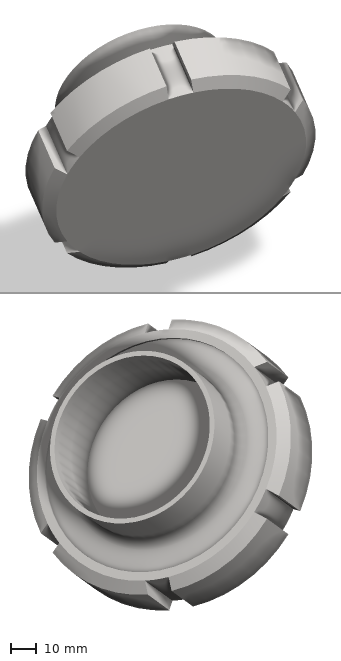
import cadquery as cq
import math

total_length = 47.5

nut_diameter = 111.6
nut_width = 25.1
nut_bore_diameter = 95.0
nut_bevel_length = 2.8
nut_bevel_height = 4.8
slot_count = 6
slot_width = 10.0

pipe_diameter = 70.0
pipe_bore_diameter = 66.0
pipe_bore_depth = 30.0
pipe_straight_length = 18.5
neck_radius = 3.9
flange_slope = 8.0

nut_radius = nut_diameter / 2
slot_floor_radius = nut_radius - nut_bevel_height
pipe_radius = pipe_diameter / 2
nut_start = total_length - nut_width

slope_angle = math.radians(flange_slope)
neck_end = pipe_straight_length + neck_radius * math.cos(slope_angle)
neck_end_radius = pipe_radius + neck_radius * (1 - math.sin(slope_angle))
flange_edge = neck_end + (nut_bore_diameter / 2 - neck_end_radius) * math.tan(slope_angle)


def make_nut():
    """Solid nut disc, bevelled on both rims, with its slots cut."""
    nut = (
        cq.Workplane("XY")
        .moveTo(nut_start, 0)
        .lineTo(nut_start, slot_floor_radius)
        .lineTo(nut_start + nut_bevel_length, nut_radius)
        .lineTo(total_length - nut_bevel_length, nut_radius)
        .lineTo(total_length, slot_floor_radius)
        .lineTo(total_length, 0)
        .close()
        .revolve(360, (0, 0, 0), (1, 0, 0))
    )
    core = cq.Workplane("YZ", origin=(nut_start, 0, 0)).circle(slot_floor_radius).extrude(nut_width)
    slot = cq.Workplane("XY").box(nut_width, slot_width, nut_radius, centered=(False, True, False))
    slot = slot.translate((nut_start, 0, 0))
    for i in range(slot_count):
        tool = slot.rotate((0, 0, 0), (1, 0, 0), i * 360 / slot_count)
        nut = nut.cut(tool.cut(core))
    return nut


def make_flanged_pipe():
    """Pipe outside with a concave neck opening into a conical flange face."""
    return (
        cq.Workplane("XY")
        .lineTo(0, pipe_radius)
        .lineTo(pipe_straight_length, pipe_radius)
        .radiusArc((neck_end, neck_end_radius), -neck_radius)
        .lineTo(flange_edge, nut_bore_diameter / 2)
        .lineTo(total_length, nut_bore_diameter / 2)
        .lineTo(total_length, 0)
        .close()
        .revolve(360, (0, 0, 0), (1, 0, 0))
    )


nut_bore = cq.Workplane("YZ").circle(nut_bore_diameter / 2).extrude(total_length)
pipe_bore = cq.Workplane("YZ").circle(pipe_bore_diameter / 2).extrude(pipe_bore_depth)

result = make_nut().cut(nut_bore).union(make_flanged_pipe()).cut(pipe_bore)